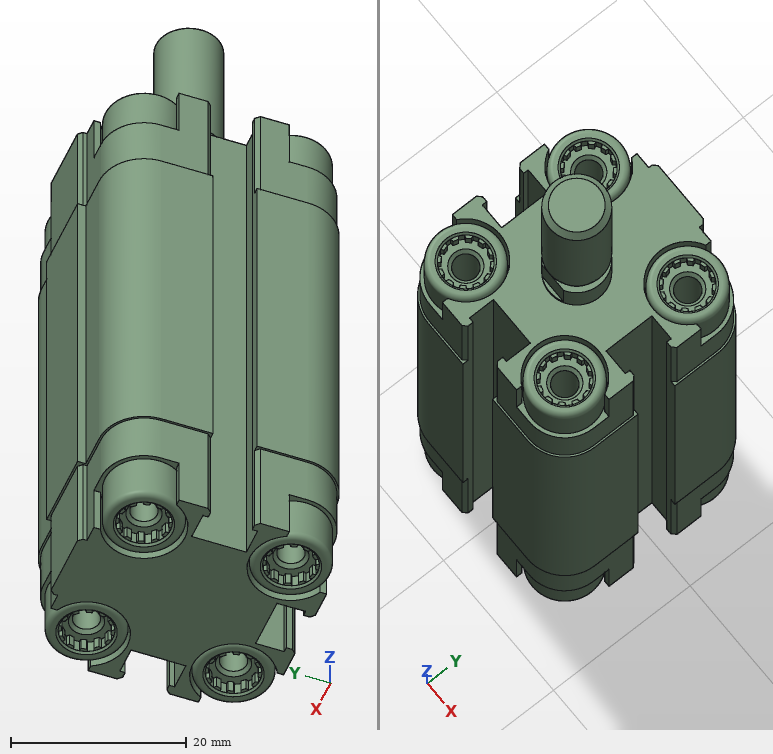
import cadquery as cq
import math

total_height = 92.5
body_height = 68.2
cap_height = 12.5

tube_half = 14.5
tube_corner_radius = 5.5
rib_height = 1.0
rib_half_width = 4.85
cap_inset = 0.25

slot_mouth_half = 2.7
slot_inner_half = 3.35
slot_floor = 9.5
slot_lip_depth = 13.0
cap_edge_chamfer = 0.5

screw_offset = 9.0
boss_diameter = 9.5
boss_edge_fillet = 0.7
recess_diameter = 10.0
boss_drop = 0.3
recess_depth = 6.2
corner_cut_start = 6.75

rim_diameter = 7.0
spline_count = 12
spline_outer_diameter = 6.47
spline_inner_diameter = 5.7
spline_flat_share = 0.44
socket_depth = 1.8
thread_bore_diameter = 4.13
through_diameter = 3.24

rod_diameter = 8.0
rod_root_diameter = 6.47
rod_collar_height = 4.5
rod_neck_height = 1.7
rod_flat_width = 7.0
rod_flat_start = 0.4
rod_insertion = cap_height


def profile_blank(inset, height, rib_chamfer=0):
    """Rounded square bar with a shallow rib along its +Y face, shrunk on all sides by inset."""
    half = tube_half - inset
    rib_half = rib_half_width - inset
    bar = cq.Workplane("XY").rect(2 * half, 2 * half).extrude(height)
    bar = bar.edges("|Z").fillet(tube_corner_radius - inset)
    rib_top = half + rib_height
    rib = cq.Workplane("XY").center(0, rib_top / 2).rect(2 * rib_half, rib_top).extrude(height)
    if rib_chamfer:
        rib = rib.faces(">Y").edges("|Z").chamfer(rib_chamfer)
    return bar.union(rib)


def slot_cutter(height):
    """T-slot opening toward -Y."""
    points = [
        (slot_inner_half, -slot_floor),
        (slot_inner_half, -slot_lip_depth),
        (slot_mouth_half, -slot_lip_depth),
        (slot_mouth_half, -tube_half),
    ]
    mirrored = [(-x, y) for x, y in reversed(points)]
    return cq.Workplane("XY").polyline(points + mirrored).close().extrude(height)


def mouth_chamfer_cutter(height):
    """Flared wedge that chamfers both mouth edges of a slot in a cap's -Y face."""
    face = tube_half - cap_inset
    wide = slot_mouth_half + cap_edge_chamfer
    deep = face - cap_edge_chamfer
    points = [(-wide, -face), (wide, -face), (slot_mouth_half, -deep), (-slot_mouth_half, -deep)]
    return cq.Workplane("XY").polyline(points).close().extrude(height)


def cut_on_slot_faces(bar, cutter):
    for angle in (-90, 0, 90):
        bar = bar.cut(cutter.rotate((0, 0, 0), (0, 0, 1), angle))
    return bar


def disc(diameter, bottom, height):
    return cq.Workplane("XY").workplane(offset=bottom).circle(diameter / 2).extrude(height)


def countersink(top, top_diameter, bottom_diameter):
    """45 degree cone narrowing downward from top."""
    depth = (top_diameter - bottom_diameter) / 2
    upper_circle = cq.Workplane("XY").workplane(offset=top).circle(top_diameter / 2)
    return upper_circle.workplane(offset=-depth).circle(bottom_diameter / 2).loft()


def boss_surround_cutter(top):
    """Material removed around a screw boss: a ring plus the open +X +Y corner of the cap."""
    floor = top - recess_depth
    boss = disc(boss_diameter, floor, recess_depth - boss_drop)
    boss = boss.faces(">Z").edges().fillet(boss_edge_fillet)
    ring = disc(recess_diameter, floor, recess_depth)
    corner_start = corner_cut_start - screw_offset
    corner_size = tube_half - corner_cut_start
    corner = cq.Workplane("XY").workplane(offset=floor).center(corner_start, corner_start)
    corner = corner.rect(corner_size, corner_size, centered=False).extrude(recess_depth)
    return ring.union(corner).cut(boss)


def spline_outline():
    """Corner points of the splined socket: equal grooves and teeth around the screw axis."""
    pitch = 2 * math.pi / spline_count
    flat_half_angle = spline_flat_share * pitch / 2
    points = []
    for i in range(spline_count):
        groove_angle = i * pitch
        tooth_angle = groove_angle + pitch / 2
        for diameter, middle in ((spline_outer_diameter, groove_angle), (spline_inner_diameter, tooth_angle)):
            for angle in (middle - flat_half_angle, middle + flat_half_angle):
                points.append((diameter / 2 * math.cos(angle), diameter / 2 * math.sin(angle)))
    return points


def socket_cutter(top):
    floor = top - socket_depth
    outline = cq.Workplane("XY").workplane(offset=floor).polyline(spline_outline()).close()
    socket = outline.extrude(socket_depth)
    socket = socket.union(countersink(top, rim_diameter, spline_outer_diameter))
    return socket.union(countersink(floor, thread_bore_diameter, through_diameter))


def make_end_cap():
    """Cap standing on Z = 0 with its bosses at the top."""
    cap = profile_blank(cap_inset, cap_height, cap_edge_chamfer)
    cap = cut_on_slot_faces(cap, slot_cutter(cap_height))
    cap = cut_on_slot_faces(cap, mouth_chamfer_cutter(cap_height))
    surround = boss_surround_cutter(cap_height)
    socket = socket_cutter(cap_height - boss_drop)
    for quarter in range(4):
        for cutter in (surround, socket):
            placed = cutter.translate((screw_offset, screw_offset, 0))
            cap = cap.cut(placed.rotate((0, 0, 0), (0, 0, 1), 90 * quarter))
    return cap


def make_housing():
    tube_height = body_height - 2 * cap_height
    tube = cut_on_slot_faces(profile_blank(0, tube_height), slot_cutter(tube_height))
    tube = tube.translate((0, 0, cap_height))
    cap = make_end_cap()
    top_cap = cap.translate((0, 0, body_height - cap_height))
    bottom_cap = cap.mirror("XY").translate((0, 0, cap_height))
    body = tube.union(top_cap).union(bottom_cap)
    screw_pitch = 2 * screw_offset
    screw_axes = cq.Workplane("XY").rarray(screw_pitch, screw_pitch, 2, 2)
    screw_bores = screw_axes.circle(through_diameter / 2).extrude(body_height)
    rod_bore = disc(rod_diameter, body_height - rod_insertion, rod_insertion)
    return body.cut(screw_bores).cut(rod_bore)


def make_rod():
    radius = rod_diameter / 2
    root = rod_root_diameter / 2
    chamfer = radius - root
    collar_top = body_height + rod_collar_height
    neck_top = collar_top + rod_neck_height
    outline = [
        (0, body_height - rod_insertion),
        (radius, body_height - rod_insertion),
        (radius, collar_top),
        (root, collar_top),
        (root, neck_top),
        (radius, neck_top + chamfer),
        (radius, total_height - chamfer),
        (root, total_height),
        (0, total_height),
    ]
    rod = cq.Workplane("XZ").polyline(outline).close().revolve(360, (0, 0, 0), (0, 1, 0))
    flat_height = rod_collar_height - rod_flat_start
    for side in (-1, 1):
        cutter = (
            cq.Workplane("XY").workplane(offset=body_height + rod_flat_start)
            .center(0, side * (rod_flat_width + rod_diameter) / 2).rect(rod_diameter, rod_diameter)
            .extrude(flat_height)
        )
        rod = rod.cut(cutter)
    return rod


housing = make_housing()
rod = make_rod()
result = cq.Compound.makeCompound([housing.val(), rod.val()])